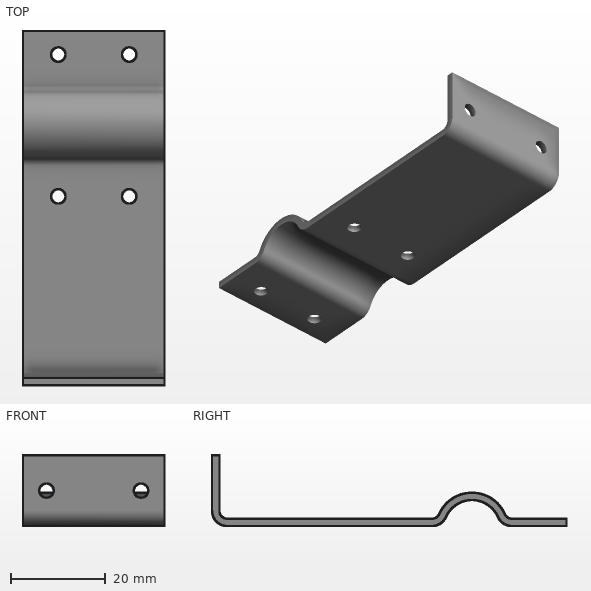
import cadquery as cq
import math

width = 30.0
length = 75.0
flange_height = 15.0
thickness = 1.6
bend_inner = thickness
bend_outer = bend_inner + thickness

saddle_inner = 6.0
saddle_outer = saddle_inner + thickness
saddle_z = -0.5
saddle_to_end = 20.0

hole_diameter = 3.0
strap_hole_spacing = 15.0
strap_hole_offset = 15.0
flange_hole_spacing = 20.0
flange_hole_height = flange_height / 2

flange_face = -length / 2
free_end = length / 2
saddle_y = free_end - saddle_to_end

root_z = bend_outer
root_rise = root_z - saddle_z
centre_distance = saddle_inner + bend_outer
root_reach = math.sqrt(centre_distance**2 - root_rise**2)
saddle_start_angle = math.asin(root_rise / centre_distance)
root_mid_angle = (saddle_start_angle - math.pi / 2) / 2 - math.pi / 2


def saddle_point(radius, side):
    """Point where the saddle arc of this radius meets its root bend."""
    return (
        saddle_y + side * radius * math.cos(saddle_start_angle),
        saddle_z + radius * math.sin(saddle_start_angle),
    )


def root_mid_point(radius, side):
    """Middle point of the root bend arc of this radius."""
    return (
        saddle_y + side * (root_reach + radius * math.cos(root_mid_angle)),
        root_z + radius * math.sin(root_mid_angle),
    )


def add_saddle(path, saddle_radius, root_radius, side):
    """Draw root bend, saddle and root bend, from the given side (+1 or -1 in Y) to the other."""
    foot_z = root_z - root_radius
    return (
        path.lineTo(saddle_y + side * root_reach, foot_z)
        .threePointArc(root_mid_point(root_radius, side), saddle_point(saddle_radius, side))
        .threePointArc((saddle_y, saddle_z + saddle_radius), saddle_point(saddle_radius, -side))
        .threePointArc(root_mid_point(root_radius, -side), (saddle_y - side * root_reach, foot_z))
    )


def flange_bend_mid_point(radius):
    """Middle point of the flange bend arc of this radius."""
    reach = radius * math.sqrt(0.5)
    return (flange_face + bend_outer - reach, bend_outer - reach)


def make_strip():
    """Bent sheet, extruded from its Y-Z outline and centred on X."""
    path = cq.Workplane("YZ").moveTo(flange_face, flange_height)
    path = path.lineTo(flange_face, bend_outer)
    path = path.threePointArc(flange_bend_mid_point(bend_outer), (flange_face + bend_outer, 0))
    path = add_saddle(path, saddle_inner, bend_outer, -1)
    path = path.lineTo(free_end, 0)
    path = path.lineTo(free_end, thickness)
    path = add_saddle(path, saddle_outer, bend_inner, 1)
    path = path.lineTo(flange_face + bend_outer, thickness)
    path = path.threePointArc(flange_bend_mid_point(bend_inner), (flange_face + thickness, bend_outer))
    path = path.lineTo(flange_face + thickness, flange_height)
    return path.close().extrude(width / 2, both=True)


def make_strap_holes():
    """Four vertical hole cutters, a pair on each side of the saddle."""
    return (
        cq.Workplane("XY")
        .center(0, saddle_y)
        .rect(strap_hole_spacing, 2 * strap_hole_offset, forConstruction=True)
        .vertices()
        .circle(hole_diameter / 2)
        .extrude(thickness)
    )


def make_flange_holes():
    """Two hole cutters through the flange, along Y."""
    return (
        cq.Workplane("XZ", origin=(0, flange_face, flange_hole_height))
        .pushPoints([(side * flange_hole_spacing / 2, 0) for side in (-1, 1)])
        .circle(hole_diameter / 2)
        .extrude(-thickness)
    )


result = make_strip().cut(make_strap_holes()).cut(make_flange_holes())